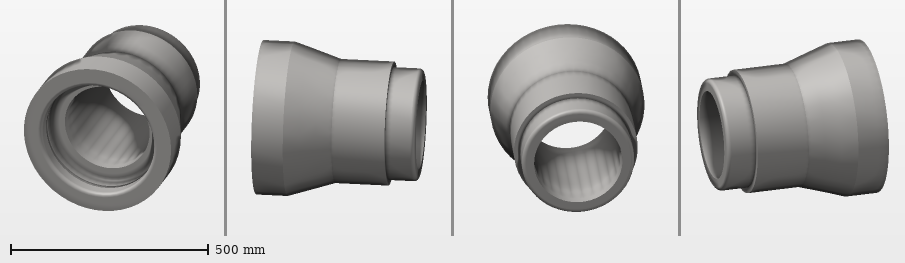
import cadquery as cq

total_length = 410.0
collar_end = 80.5
taper_end = 200.0
barrel_end = 335.0

collar_radius = 196.0
barrel_radius = 157.5
spigot_radius = 143.0
edge_round = 10.0

socket_radius = 148.5
socket_depth = 80.5
bore_entry_radius = 112.8
bore_exit_radius = 112.5

groove_start = 37.0
groove_width = 12.5
groove_depth = 2.5

outer_profile = [
    (0, 0),
    (collar_radius, 0),
    (collar_radius, collar_end),
    (barrel_radius, taper_end),
    (barrel_radius, barrel_end),
    (spigot_radius, barrel_end),
    (spigot_radius, total_length),
    (0, total_length),
]
bore_profile = [
    (0, socket_depth),
    (bore_entry_radius, socket_depth),
    (bore_exit_radius, total_length),
    (0, total_length),
]


def revolve_profile(points):
    """Turn a closed radius/length outline about the Y axis."""
    return cq.Workplane("XY").polyline(points).close().revolve(360, (0, 0, 0), (0, 1, 0))


def cylinder(radius, start, length):
    """Solid cylinder along Y."""
    return cq.Workplane("XZ", origin=(0, start, 0)).circle(radius).extrude(-length)


body = revolve_profile(outer_profile).faces(">Y").edges().fillet(edge_round)

socket = cylinder(socket_radius, 0, socket_depth).faces(">Y").edges().fillet(edge_round)
body = body.cut(socket)

body = body.faces("<Y").edges(cq.selectors.RadiusNthSelector(0)).fillet(edge_round)

body = body.cut(revolve_profile(bore_profile))

groove = cylinder(socket_radius + groove_depth, groove_start, groove_width)
result = body.cut(groove)